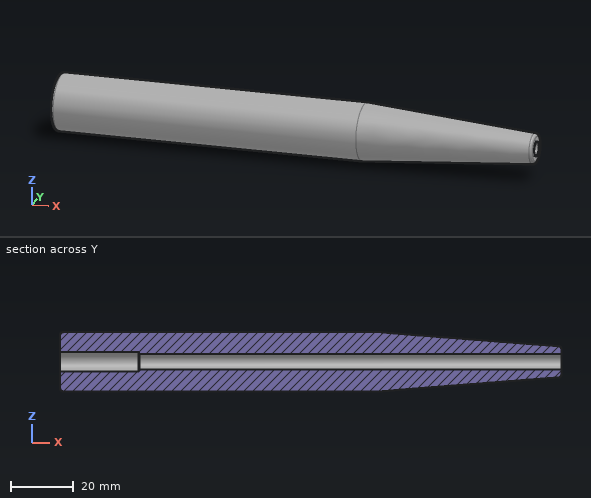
import math

import cadquery as cq

total_length = 160.0
body_diameter = 19.05
taper_length = 57.5
tip_diameter = 10.0
end_rounding = 1.0

bore_diameter = 4.76
entry_diameter = 6.0
entry_depth = 25.0
drill_point_angle = 118.0
drill_point_depth = (entry_diameter - bore_diameter) / 2 / math.tan(math.radians(drill_point_angle / 2))

body_length = total_length - taper_length


def revolve_about_x(points):
    """Turn a closed (position, radius) outline into a solid around the X axis."""
    return cq.Workplane("XY").polyline(points).close().revolve(360, (0, 0, 0), (1, 0, 0))


def make_handle():
    """Cylinder and tapered nose with both end rims rounded."""
    handle = revolve_about_x(
        [
            (0, 0),
            (0, body_diameter / 2),
            (body_length, body_diameter / 2),
            (total_length, tip_diameter / 2),
            (total_length, 0),
        ]
    )
    return handle.faces("<X or >X").edges().fillet(end_rounding)


def make_bore():
    """Through bore, wider at the thick end, with a conical step between the two diameters."""
    return revolve_about_x(
        [
            (0, 0),
            (0, entry_diameter / 2),
            (entry_depth, entry_diameter / 2),
            (entry_depth + drill_point_depth, bore_diameter / 2),
            (total_length, bore_diameter / 2),
            (total_length, 0),
        ]
    )


result = make_handle().cut(make_bore())